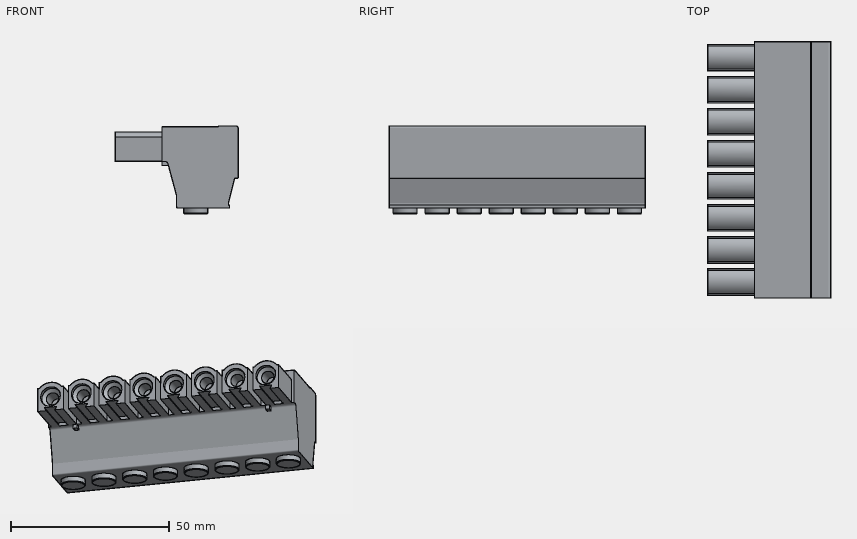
import cadquery as cq

poles = 8
length = 81.1
pitch = length / poles
overall_height = 27.8

body_front = 14.8
body_back = 38.9
base_z = 1.8
top_step = 0.25
top_step_x = 32.8
top_step_run = 0.25
deck_z = overall_height - top_step
overhang_z = 16.55
overhang_depth = 1.7
base_front = 19.4
taper_end_z = 5.7
back_ledge_z = 11.2
back_ledge_depth = 1.1
hook_x = 35.85
hook_z = 3.4
hook_lip = 0.3
hook_lip_z = 2.75
deck_front_radius = 0.3
back_top_radius = 0.8
back_ledge_radius = 0.3
base_front_radius = 0.4
throat_radius = 0.8

sleeve_width = 8.4
sleeve_shoulder_z = 24.25
entry_z = 21.2
crown_radius = 4.8
crown_half_width = (crown_radius**2 - (sleeve_shoulder_z - entry_z) ** 2) ** 0.5
mouth_radius = 3.25
bore_radius = 2.0
mouth_depth = 1.5
funnel_depth = 0.8
bore_depth = 8.1

groove_top_z = 17.6
groove_top_width = 4.0
groove_mouth_width = 2.75

lug_width = 1.3
lug_y = 31.7
lug_height = 1.3
lug_depth = 2.1

foot_x = 25.5
foot_diameter = 7.7
foot_chamfer = 0.25

pole_positions = [(i - (poles - 1) / 2) * pitch for i in range(poles)]


def make_housing():
    """Extrude the stepped and tapered side profile along the full length."""
    throat_x = body_front + overhang_depth
    profile = (
        cq.Workplane("XZ", origin=(0, length / 2, 0))
        .moveTo(body_front, deck_z)
        .lineTo(top_step_x - top_step_run, deck_z)
        .lineTo(top_step_x, overall_height)
        .lineTo(body_back, overall_height)
        .lineTo(body_back, back_ledge_z)
        .lineTo(body_back - back_ledge_depth, back_ledge_z)
        .lineTo(hook_x, hook_z)
        .lineTo(hook_x, hook_lip_z)
        .lineTo(hook_x + hook_lip, hook_lip_z)
        .lineTo(hook_x + hook_lip, base_z)
        .lineTo(base_front, base_z)
        .lineTo(base_front, taper_end_z)
        .lineTo(throat_x, overhang_z)
        .lineTo(body_front, overhang_z)
        .close()
    )
    housing = profile.extrude(length)
    rounded_edges = [
        (body_front, deck_z, deck_front_radius),
        (body_back, overall_height, back_top_radius),
        (body_back, back_ledge_z, back_ledge_radius),
        (base_front, base_z, base_front_radius),
        (throat_x, overhang_z, throat_radius),
    ]
    for x, z, radius in rounded_edges:
        edge = housing.edges(cq.selectors.NearestToPointSelector((x, 0, z)))
        housing = edge.fillet(radius)
    return housing


def make_sleeve(y):
    """Sleeve with a round crown and a dovetail groove along its underside."""
    half_width = sleeve_width / 2
    half_top = groove_top_width / 2
    half_mouth = groove_mouth_width / 2
    return (
        cq.Workplane("YZ", origin=(0, y, 0))
        .moveTo(-half_mouth, overhang_z)
        .lineTo(-half_width, overhang_z)
        .lineTo(-half_width, sleeve_shoulder_z)
        .lineTo(-crown_half_width, sleeve_shoulder_z)
        .threePointArc((0, entry_z + crown_radius), (crown_half_width, sleeve_shoulder_z))
        .lineTo(half_width, sleeve_shoulder_z)
        .lineTo(half_width, overhang_z)
        .lineTo(half_mouth, overhang_z)
        .lineTo(half_top, groove_top_z)
        .lineTo(-half_top, groove_top_z)
        .close()
        .extrude(body_front)
    )


def make_wire_entry(y):
    """Round mouth and steep funnel leading into a straight blind bore."""
    return (
        cq.Workplane("XY", origin=(0, y, entry_z))
        .moveTo(0, 0)
        .lineTo(0, mouth_radius)
        .lineTo(mouth_depth, mouth_radius)
        .lineTo(mouth_depth + funnel_depth, bore_radius)
        .lineTo(bore_depth, bore_radius)
        .lineTo(bore_depth, 0)
        .close()
        .revolve(360, (0, 0, 0), (1, 0, 0))
    )


def make_foot(y):
    """Short round foot with a chamfered lower rim."""
    return (
        cq.Workplane("XY")
        .center(foot_x, y)
        .circle(foot_diameter / 2)
        .extrude(base_z)
        .faces("<Z")
        .chamfer(foot_chamfer)
    )


def make_lug(y):
    """Square lug hanging below the overhang."""
    return cq.Workplane("XY", origin=(body_front, y, overhang_z)).box(
        lug_depth, lug_width, 2 * lug_height, centered=(False, True, True)
    )


result = make_housing()
for y in pole_positions:
    result = result.union(make_sleeve(y)).union(make_foot(y)).cut(make_wire_entry(y))
for y in (-lug_y, lug_y):
    result = result.union(make_lug(y))